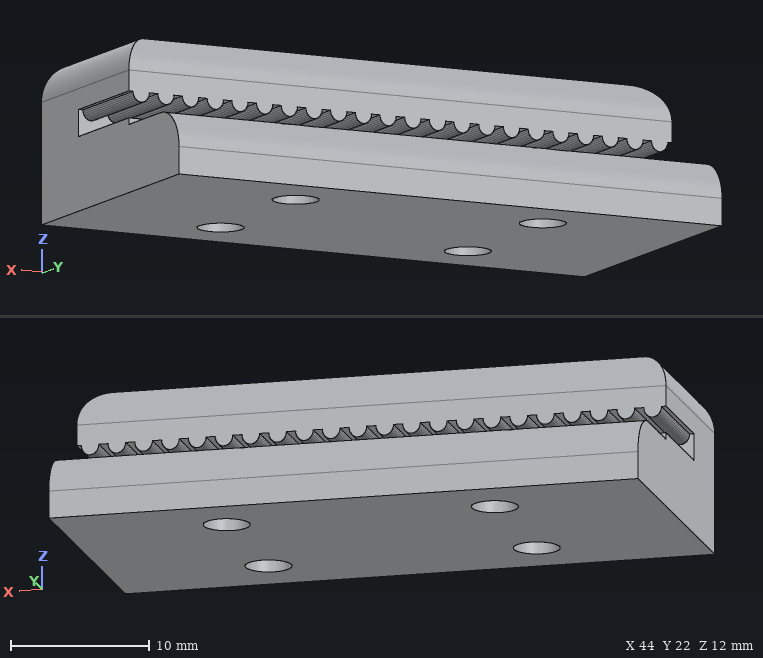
import cadquery as cq
import math

LENGTH = 44.0
DEPTH = 22.0
HEIGHT = 12.0

JAW_DEPTH = 14.0
LEDGE_HEIGHT = 5.0
ROUND_RADIUS = 3.0

SLOT_DEPTH = 8.0
SLOT_FLOOR = 5.5
SLOT_CEILING = 7.5
SLOT_FRONT = JAW_DEPTH - SLOT_DEPTH

TOOTH_COUNT = 22
TOOTH_PITCH = LENGTH / TOOTH_COUNT
TOOTH_HEIGHT = 0.75
TOOTH_WIDTH = 1.3
TOOTH_FACETS = 16

HOLE_DIAMETER = 3.4
COUNTERBORE_DIAMETER = 6.0
COUNTERBORE_DEPTH = 3.1
HOLE_SPACING_X = 20.0
FRONT_HOLE_Y = 5.0
REAR_HOLE_Y = DEPTH - FRONT_HOLE_Y


def make_body():
    """Stepped block with the belt slot, extruded along X."""
    return (
        cq.Workplane("YZ")
        .moveTo(0, 0)
        .lineTo(DEPTH, 0)
        .lineTo(DEPTH, LEDGE_HEIGHT)
        .lineTo(JAW_DEPTH, LEDGE_HEIGHT)
        .lineTo(JAW_DEPTH, SLOT_FLOOR)
        .lineTo(SLOT_FRONT, SLOT_FLOOR)
        .lineTo(SLOT_FRONT, SLOT_CEILING)
        .lineTo(JAW_DEPTH, SLOT_CEILING)
        .lineTo(JAW_DEPTH, HEIGHT)
        .lineTo(0, HEIGHT)
        .close()
        .extrude(LENGTH / 2, both=True)
    )


def round_jaw(body):
    """Round the two end edges and the rear edge of the jaw top."""
    return body.faces(">Z").edges("not <Y").fillet(ROUND_RADIUS)


def round_ledge(body):
    """Round the rear edge of the ledge."""
    rear_edge = cq.selectors.NearestToPointSelector((0, DEPTH, LEDGE_HEIGHT))
    return body.edges(rear_edge).fillet(ROUND_RADIUS)


def make_teeth():
    """Faceted half-ellipse ridges running across the slot, one per belt pitch."""
    facet_angle = math.pi / TOOTH_FACETS
    outline = [
        (
            TOOTH_WIDTH / 2 * math.cos(i * facet_angle),
            -TOOTH_HEIGHT * math.sin(i * facet_angle),
        )
        for i in range(TOOTH_FACETS + 1)
    ]
    tooth = (
        cq.Workplane("XZ", origin=(0, JAW_DEPTH, SLOT_CEILING))
        .polyline(outline)
        .close()
        .extrude(SLOT_DEPTH)
    )
    first_tooth_x = -(TOOTH_COUNT - 1) * TOOTH_PITCH / 2
    return [tooth.translate((first_tooth_x + i * TOOTH_PITCH, 0, 0)) for i in range(TOOTH_COUNT)]


def cut_screw_hole(body, x, y, top):
    """Through hole with a counterbore sunk from the given height."""
    return (
        body.copyWorkplane(cq.Workplane("XY", origin=(x, y, top)))
        .cboreHole(HOLE_DIAMETER, COUNTERBORE_DIAMETER, COUNTERBORE_DEPTH)
    )


result = round_ledge(round_jaw(make_body()))
for belt_tooth in make_teeth():
    result = result.union(belt_tooth)
for hole_x in (-HOLE_SPACING_X / 2, HOLE_SPACING_X / 2):
    result = cut_screw_hole(result, hole_x, FRONT_HOLE_Y, HEIGHT)
    result = cut_screw_hole(result, hole_x, REAR_HOLE_Y, LEDGE_HEIGHT)